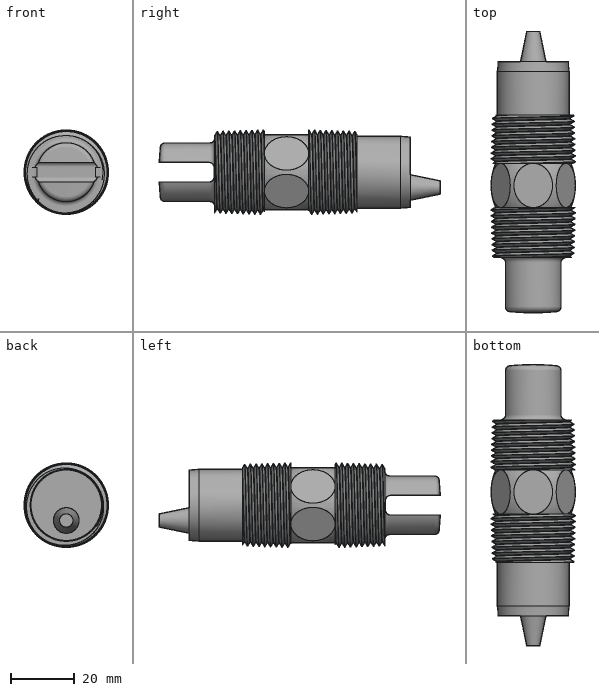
import cadquery as cq
import math


hex_length = 13.95
hex_across_flats = 23.72
hex_corner_diameter = 26.65
hex_end_radius = hex_across_flats / 2

thread_pitch = 25.4 / 14
thread_taper = 1 / 32
thread_large_radius = 13.335
thread_depth = 1.3
thread_crest_flat = 0.1
thread_half_angle = 30
thread_overrun_turns = 0.7
groove_clearance = 0.1
front_thread_length = 15.65
rear_thread_length = 15.25
front_thread_start = 36
rear_thread_start = -120

fork_radius = 9.28
fork_length = 17.6
fork_slot_width = 6.14
fork_root_fillet = 1.5
fork_tip_fillet = 1.5
fork_tip_dome = 0.6
fork_pad_height = 0.27

barrel_diameter = 22.75
barrel_length = 13.6
cap_length = 3.2
cap_end_diameter = 22.2
cable_cone_length = 9.46
cable_cone_base_diameter = 8.1
cable_cone_tip_diameter = 4.2
cable_cone_drop = 4.8

root_fillet_inset = fork_root_fillet * (1 - math.sqrt(0.5))

hex_front_y = -hex_length / 2
hex_rear_y = hex_length / 2
fork_face_y = hex_front_y - front_thread_length
barrel_front_y = hex_rear_y + rear_thread_length
cap_front_y = barrel_front_y + barrel_length
cap_rear_y = cap_front_y + cap_length


def cone_frustum(start_y, length, start_radius, end_radius):
    """Cone frustum on the Y axis, growing toward +Y."""
    return cq.Workplane(cq.Solid.makeCone(
        start_radius, end_radius, length, cq.Vector(0, start_y, 0), cq.Vector(0, 1, 0)))


def hexagon():
    """Hexagon with corners on +X and -X, its corners rounded by an arched barrel."""
    prism = (
        cq.Workplane("XZ", origin=(0, hex_rear_y, 0))
        .polygon(6, hex_across_flats, circumscribed=True)
        .extrude(hex_length)
        .rotate((0, 0, 0), (0, 1, 0), 180 / 6)
    )
    barrel = (
        cq.Workplane("XY")
        .moveTo(0, hex_front_y)
        .lineTo(hex_end_radius, hex_front_y)
        .threePointArc((hex_corner_diameter / 2, 0), (hex_end_radius, hex_rear_y))
        .lineTo(0, hex_rear_y)
        .close()
        .revolve(360, (0, 0, 0), (0, 1, 0))
    )
    return prism.intersect(barrel)


def tapered_thread(length, start_angle):
    """Right-hand threaded cone on the Z axis, small end at Z = 0."""
    taper_angle = math.degrees(math.atan(thread_taper))
    small_radius = thread_large_radius - length * thread_taper
    blank = cq.Workplane(cq.Solid.makeCone(small_radius, thread_large_radius, length))

    overrun = thread_overrun_turns * thread_pitch
    run_start = -overrun
    run_length = length + 2 * overrun
    start_radius = small_radius + run_start * thread_taper
    slope = math.tan(math.radians(thread_half_angle))
    half_opening = (thread_pitch - thread_crest_flat) / 2
    half_root = half_opening - thread_depth * slope
    path = cq.Wire.makeHelix(
        thread_pitch, run_length, start_radius, cq.Vector(0, 0, run_start), angle=taper_angle)
    groove = (
        cq.Workplane("XZ", origin=(start_radius, 0, run_start))
        .polyline([
            (groove_clearance, -half_opening),
            (groove_clearance, half_opening),
            (0, half_opening),
            (-thread_depth, half_root),
            (-thread_depth, -half_root),
            (0, -half_opening),
        ])
        .close()
        .sweep(cq.Workplane(path), isFrenet=True)
    )
    return blank.cut(groove, clean=False).rotate((0, 0, 0), (0, 0, 1), start_angle)


def front_thread():
    """Thread in front of the hexagon, narrowing toward -Y."""
    thread = tapered_thread(front_thread_length, front_thread_start)
    return thread.rotate((0, 0, 0), (1, 0, 0), -90).translate((0, fork_face_y, 0))


def rear_thread():
    """Thread behind the hexagon, narrowing toward +Y."""
    thread = tapered_thread(rear_thread_length, rear_thread_start)
    return thread.rotate((0, 0, 0), (1, 0, 0), 90).translate((0, barrel_front_y, 0))


def fork_bar():
    """Round bar with a flared root and a domed, rounded tip."""
    flare_radius = fork_radius + fork_root_fillet
    shoulder = fork_length - fork_tip_dome
    dome_radius = (fork_radius**2 + fork_tip_dome**2) / (2 * fork_tip_dome)
    mid_radius = fork_radius / 2
    dome_mid = fork_length - dome_radius + math.sqrt(dome_radius**2 - mid_radius**2)
    bar = (
        cq.Workplane("XY", origin=(0, fork_face_y, 0))
        .lineTo(fork_radius, 0)
        .lineTo(fork_radius, -shoulder)
        .threePointArc((mid_radius, -dome_mid), (0, -fork_length))
        .close()
        .revolve(360, (0, 0, 0), (0, 1, 0))
        .faces("<Y")
        .edges()
        .fillet(fork_tip_fillet)
    )
    flare = (
        cq.Workplane("XY", origin=(0, fork_face_y, 0))
        .lineTo(flare_radius, 0)
        .threePointArc(
            (fork_radius + root_fillet_inset, -root_fillet_inset), (fork_radius, -fork_root_fillet))
        .lineTo(0, -fork_root_fillet)
        .close()
        .revolve(360, (0, 0, 0), (0, 1, 0))
    )
    return bar.union(flare)


def fork_slot():
    """Slot along X with rounded bottom corners."""
    half_width = fork_slot_width / 2
    half_floor = half_width - fork_root_fillet
    corner_top = fork_pad_height + fork_root_fillet
    corner_mid = fork_pad_height + root_fillet_inset
    corner_mid_width = half_width - root_fillet_inset
    return (
        cq.Workplane("YZ", origin=(-2 * fork_radius, fork_face_y, 0))
        .moveTo(0, -half_floor)
        .lineTo(-fork_pad_height, -half_floor)
        .threePointArc((-corner_mid, -corner_mid_width), (-corner_top, -half_width))
        .lineTo(-2 * fork_length, -half_width)
        .lineTo(-2 * fork_length, half_width)
        .lineTo(-corner_top, half_width)
        .threePointArc((-corner_mid, corner_mid_width), (-fork_pad_height, half_floor))
        .lineTo(0, half_floor)
        .close()
        .extrude(4 * fork_radius)
    )


def fork_pad():
    """Low round pad that forms the slot floor, its rim flared by part of the root fillet."""
    def rim_width(height):
        return math.sqrt(fork_root_fillet**2 - (fork_root_fillet - height)**2)

    foot_radius = fork_radius + rim_width(fork_pad_height)
    mid_height = fork_pad_height / 4
    return (
        cq.Workplane("XY", origin=(0, fork_face_y, 0))
        .lineTo(foot_radius, 0)
        .threePointArc((foot_radius - rim_width(mid_height), -mid_height), (fork_radius, -fork_pad_height))
        .lineTo(0, -fork_pad_height)
        .close()
        .revolve(360, (0, 0, 0), (0, 1, 0))
    )


def make_housing():
    """Hexagon, both threads, sensing fork and rear barrel in one solid."""
    fork = fork_bar().cut(fork_slot()).union(fork_pad())
    barrel = cq.Workplane("XZ", origin=(0, cap_front_y, 0)).circle(barrel_diameter / 2).extrude(barrel_length)
    body = hexagon()
    for section in (front_thread(), rear_thread(), fork, barrel):
        body = body.union(section, clean=False)
    return body


def make_end_cap():
    """Drafted cap behind the barrel, with the cable cone below its centre."""
    cap = cone_frustum(cap_front_y, cap_length, barrel_diameter / 2, cap_end_diameter / 2)
    cone = cone_frustum(
        cap_rear_y, cable_cone_length, cable_cone_base_diameter / 2, cable_cone_tip_diameter / 2)
    return cap.union(cone.translate((0, 0, -cable_cone_drop)))


housing = make_housing()
end_cap = make_end_cap()

result = cq.Compound.makeCompound([housing.val(), end_cap.val()])